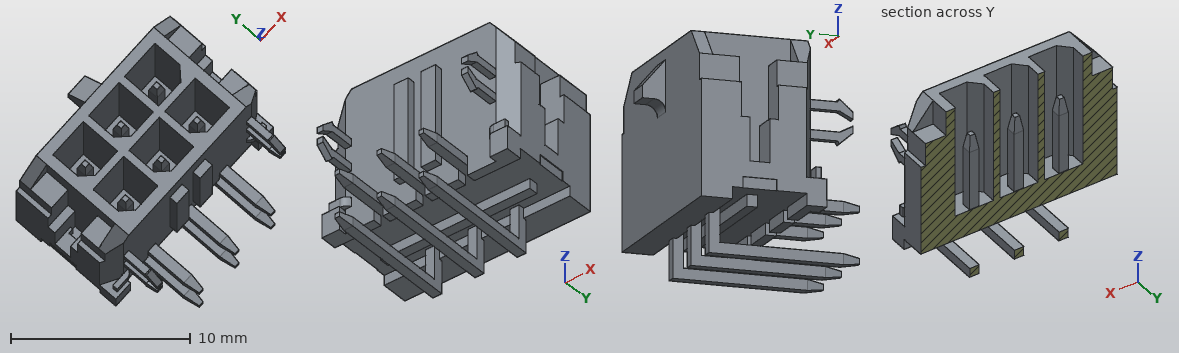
import cadquery as cq
import math


height = 9.93
depth = 6.89
core_half_width = 4.92
flank_half_width = 6.3
base_half_width = 6.6
flank_step_z = 6.77
shoulder_z = 8.29
front_corner_wall = 1.03
rear_corner_wall = 0.79
front_half_width = 5.355
corner_setback = 0.69

key_wide_y = (2.32, 4.52)
key_wide_z = 4.79
key_narrow_y = (2.84, 4.0)
key_narrow_z = 2.26
key_pocket_y = (3.04, 3.83)
key_pocket_half_width = 5.62
key_pocket_neck_half_width = 5.3
key_pocket_depth = 1.0

channel_y = (0.64, 5.04)
channel_height = 0.69
cross_rib_y = (3.1, 3.74)
cross_rib_half_width = 5.3
side_recess_y = (2.42, 4.42)
side_recess_top = 1.33
side_recess_depth = 0.05

front_projection = 0.53
foot_height = 1.62
rib_inner_x = 0.46
rib_width = 1.02

latch_width = 1.4
latch_reach = 1.37
latch_root_z = 9.3
latch_nose_z = 7.72
latch_bottom_z = 6.98
latch_fillet = 0.7

pitch = 3.0
column_x = (-pitch, 0, pitch)
front_row_y = 1.95
rear_row_y = front_row_y + pitch
cavity_size = 2.54
cavity_chamfer = 0.68
cavity_floor_z = 2.4
pin_size = 0.64
tip_size = 0.32
tip_length = 1.0
tip_taper = math.degrees(math.atan((pin_size - tip_size) / 2 / tip_length))
contact_top_z = 7.4
pin_end_y = -3.69
front_pin_z = channel_height + pin_size / 2
rear_pin_z = front_pin_z - pitch

lock_x = (4.925, 5.36)
lock_mid_z = 5.335
prong_inner = 0.605
prong_outer = 1.125
barb_outer = 1.295
prong_tip_inner = 0.19
barb_start_y = -1.6
barb_y = -1.71
prong_end_y = -2.52
tab_end_x = 6.26
tab_bend_x = 5.455
tab_inner_x = 4.87
tab_thickness = 0.33
tab_z = (1.72, 2.36)


def box(x_range, y_range, z_range):
    """Box between the given limits."""
    (x0, x1), (y0, y1), (z0, z1) = x_range, y_range, z_range
    return cq.Workplane("XY").box(x1 - x0, y1 - y0, z1 - z0, centered=False).translate((x0, y0, z0))


def both_sides(shape):
    """The +X shape together with its mirror image."""
    return shape.union(shape.mirror("YZ"))


def make_shell():
    """Housing outline: sloped and stepped across X, angled at the front corners."""
    right_edge = [
        (base_half_width, 0),
        (base_half_width, flank_step_z),
        (flank_half_width, flank_step_z),
        (flank_half_width, shoulder_z),
        (core_half_width, height),
    ]
    left_edge = [(-x, z) for x, z in reversed(right_edge)]
    elevation = cq.Workplane("XZ").polyline(right_edge + left_edge).close().extrude(-depth)
    plan = (
        cq.Workplane("XY")
        .polyline([
            (front_half_width, 0),
            (base_half_width, corner_setback),
            (base_half_width, depth),
            (-base_half_width, depth),
            (-base_half_width, corner_setback),
            (-front_half_width, 0),
        ])
        .close()
        .extrude(height)
    )
    return elevation.intersect(plan)


def make_keyways():
    """Cuts in both flanks: open shoulder, stepped keyway and its floor pocket."""
    flank = (core_half_width, base_half_width)
    shoulder_y = (front_corner_wall, depth - rear_corner_wall)
    pocket_z = (key_narrow_z - key_pocket_depth, key_narrow_z)
    cuts = box(flank, shoulder_y, (shoulder_z, height))
    cuts = cuts.union(box(flank, key_wide_y, (key_wide_z, height)))
    cuts = cuts.union(box(flank, key_narrow_y, (key_narrow_z, height)))
    cuts = cuts.union(box((core_half_width, key_pocket_neck_half_width), key_narrow_y, pocket_z))
    cuts = cuts.union(box((core_half_width, key_pocket_half_width), key_pocket_y, pocket_z))
    return both_sides(cuts)


def make_underside_cuts():
    """Cross channel, pin notches in the front wall and shallow recesses in the flanks."""
    full_width = (-base_half_width, base_half_width)
    cuts = box(full_width, channel_y, (0, channel_height))
    for x in column_x:
        notch_x = (x - pin_size / 2, x + pin_size / 2)
        cuts = cuts.union(box(notch_x, (0, channel_y[0]), (0, channel_height)))
    recess_x = (base_half_width - side_recess_depth, base_half_width)
    recess = box(recess_x, side_recess_y, (channel_height, side_recess_top))
    return cuts.union(both_sides(recess))


def make_cavity(x, y, keyed_side):
    """Square cavity with its front corner cut off on one side (-1 left, 1 right)."""
    half = cavity_size / 2
    corner = half - cavity_chamfer
    return (
        cq.Workplane("XY", origin=(x, y, cavity_floor_z))
        .polyline([
            (keyed_side * half, half),
            (keyed_side * half, -corner),
            (keyed_side * corner, -half),
            (-keyed_side * half, -half),
            (-keyed_side * half, half),
        ])
        .close()
        .extrude(height - cavity_floor_z)
    )


def make_bar(plane, start, length):
    """Square pin from start along the plane normal, ending in a tapered tip."""
    shank_length = length - tip_length
    shank = cq.Workplane(plane, origin=start).rect(pin_size, pin_size).extrude(shank_length)
    tip = (
        cq.Workplane(plane, origin=start)
        .workplane(offset=shank_length)
        .rect(pin_size, pin_size)
        .extrude(tip_length, taper=tip_taper)
    )
    return shank.union(tip)


def make_column_pins(x):
    """Front and rear pins of one column: contacts in the cavities and tails to the board."""
    contact_length = contact_top_z - cavity_floor_z
    front_contact = make_bar("XY", (x, front_row_y, cavity_floor_z), contact_length)
    rear_contact = make_bar("XY", (x, rear_row_y, cavity_floor_z), contact_length)
    front_tail = make_bar("XZ", (x, front_row_y, front_pin_z), front_row_y - pin_end_y)
    rear_tail_start_y = rear_row_y + pin_size / 2
    rear_tail = make_bar("XZ", (x, rear_tail_start_y, rear_pin_z), rear_tail_start_y - pin_end_y)
    rear_leg = box(
        (x - pin_size / 2, x + pin_size / 2),
        (rear_row_y - pin_size / 2, rear_row_y + pin_size / 2),
        (rear_pin_z - pin_size / 2, cavity_floor_z),
    )
    return [front_contact, rear_contact, front_tail, rear_tail, rear_leg]


def make_latch():
    """Ramped latch on the rear face, with a fillet where its underside meets the wall."""
    nose_y = depth + latch_reach
    arc_point = latch_fillet * (1 - math.sqrt(0.5))
    return (
        cq.Workplane("YZ")
        .moveTo(depth, latch_root_z)
        .lineTo(nose_y, latch_nose_z)
        .lineTo(nose_y, latch_bottom_z)
        .lineTo(depth + latch_fillet, latch_bottom_z)
        .threePointArc(
            (depth + arc_point, latch_bottom_z - arc_point),
            (depth, latch_bottom_z - latch_fillet),
        )
        .close()
        .extrude(latch_width / 2, both=True)
    )


def make_prong(direction):
    """Barbed board-lock prong above (1) or below (-1) the middle of its pair."""
    outline = [
        (corner_setback, prong_inner),
        (corner_setback, prong_outer),
        (barb_start_y, prong_outer),
        (barb_y, barb_outer),
        (prong_end_y, prong_inner),
        (prong_end_y, prong_tip_inner),
        (barb_y, prong_inner),
    ]
    return (
        cq.Workplane("YZ", origin=(lock_x[0], 0, lock_mid_z))
        .polyline([(y, direction * z) for y, z in outline])
        .close()
        .extrude(lock_x[1] - lock_x[0])
    )


def make_lock_tab():
    """Tab flat against the front corner, its inner end curving back into the housing."""
    bend_radius = tab_bend_x - tab_inner_x
    bend_center_y = bend_radius - tab_thickness
    bend_offset = bend_radius * math.sqrt(0.5)
    return (
        cq.Workplane("XY", origin=(0, 0, tab_z[0]))
        .moveTo(tab_end_x, 0)
        .lineTo(tab_end_x, -tab_thickness)
        .lineTo(tab_bend_x, -tab_thickness)
        .threePointArc(
            (tab_bend_x - bend_offset, bend_center_y - bend_offset),
            (tab_inner_x, bend_center_y),
        )
        .lineTo(tab_bend_x, bend_center_y)
        .lineTo(tab_bend_x, 0)
        .close()
        .extrude(tab_z[1] - tab_z[0])
    )


foot = box(
    (front_half_width, base_half_width), (-front_projection, corner_setback), (0, foot_height)
)
rib = box(
    (rib_inner_x, rib_inner_x + rib_width), (-front_projection, 0), (foot_height, shoulder_z)
)
housing = make_shell().cut(make_keyways())
housing = housing.union(both_sides(foot)).union(both_sides(rib)).union(make_latch())
housing = housing.cut(make_underside_cuts())
for x in column_x:
    for y in (front_row_y, rear_row_y):
        is_reversed = x > 0 and y == rear_row_y
        housing = housing.cut(make_cavity(x, y, 1 if is_reversed else -1))

cross_rib = box(
    (-cross_rib_half_width, cross_rib_half_width), cross_rib_y, (0, channel_height)
)
result = housing.union(cross_rib)
for x in column_x:
    for pin_piece in make_column_pins(x):
        result = result.union(pin_piece)
for lock_piece in (make_prong(1), make_prong(-1), make_lock_tab()):
    result = result.union(both_sides(lock_piece))